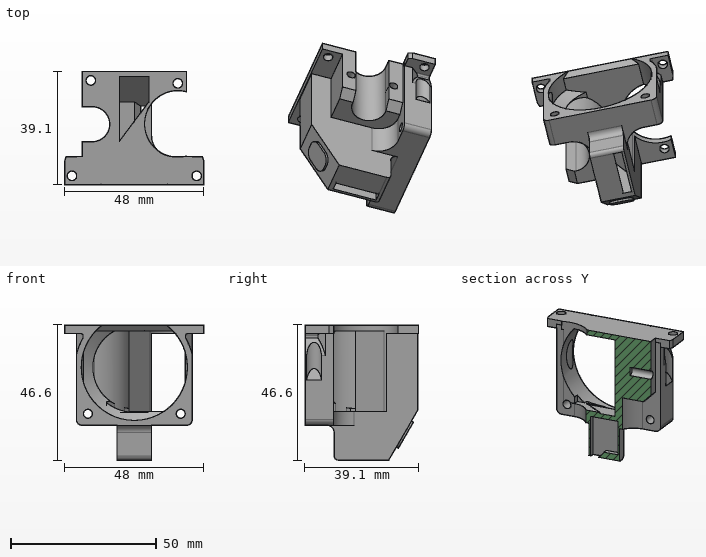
import cadquery as cq
import math


plate_width = 48.0
plate_depth = 39.11
plate_thickness = 3.0
overlap_depth = plate_thickness / 2
rear_plate_half_width = 18.0
front_strip_depth = 9.75
strip_corner_x = 0.5
strip_corner_y = 1.45
plate_hole_d = 3.2
strip_hole_x = 21.5
strip_hole_y = 3.1
rear_holes = [(-15.0, 36.0), (15.0, 35.0)]

fan_size = 40.0
frame_depth = 9.8
frame_bottom = -34.6
frame_corner_r = 2.0
fan_z = frame_bottom + fan_size / 2
fan_bore_r = 18.3
fan_hole_d = 3.0
fan_hole_offset = 16.0
fan_rim_r = 20.4
pocket_inner_x = 17.7
pocket_depth = 7.0
pocket_inner_depth = 4.4
pocket_corner_r = 0.6
screw_channel_r = 3.0
screw_sleeve_r = 4.0
channel_end_inner_z = -15.0
channel_end_outer_z = -18.9
sleeve_bottom = -21.0

body_half_width = 6.0
body_back = 38.9
body_front = 10.0
body_bottom = -46.63
slope_top_z = -29.3
slope_bottom_y = 28.85
flare_r = 7.1
nozzle_root_r = 2.5
nozzle_tip_r = 1.5

duct_half_width = 5.13
duct_back = 37.4
duct_front_corner_y = 15.05
duct_diagonal_end_y = 28.8
slope_wall = 1.7
nozzle_inner_front = 11.5
nozzle_ceiling = -32.0
nozzle_floor = -44.2
floor_ramp_x = 0.0
floor_slot_x = 2.25

pad_length = 10.4
pad_width = 8.0
pad_height = 0.8
pad_corner_r = 3.2
pad_center_z = -37.6

block_left = -18.0
block_back = 31.8
block_bottom = -23.0
block_chamfer = 3.0
slot_x = -14.5
slot_y = 20.9
slot_r = 6.0
clamp_hole_d = 2.94
clamp_hole_spacing = 15.5
clamp_hole_z = -12.55
clamp_hole_depth = 8.0

hotend_x = 15.0
hotend_y = 21.0
hotend_r = 11.45
hotend_floor = -29.76
passage_ceiling = -2.0
ceiling_slope_run = 1.6
passage_floor = -30.15
funnel_start_y = 6.0
funnel_end_y = 8.3
funnel_r = 14.3
floor_edge_y = 7.6
floor_half_width = math.sqrt(fan_bore_r**2 - (fan_z - passage_floor)**2)
floor_tip_y = 15.7
floor_pocket_top = -26.4
divider_wall = 1.15
divider_left_x = -1.9
passage_wall_mid = (-6.2, 11.0)

duct_diagonal_slope = (duct_diagonal_end_y - duct_front_corner_y) / (2 * duct_half_width)


def box(x0, x1, y0, y1, z0, z1):
    """Axis-aligned box between two opposite corners."""
    return cq.Workplane("XY").box(x1 - x0, y1 - y0, z1 - z0, centered=False).translate((x0, y0, z0))


def prism_z(points, z0, z1):
    """Closed XY outline extruded from z0 to z1."""
    return cq.Workplane("XY", origin=(0, 0, z0)).polyline(points).close().extrude(z1 - z0)


def prism_x(points, half_width):
    """Closed YZ outline extruded equally to both sides of X = 0."""
    return cq.Workplane("YZ").polyline(points).close().extrude(half_width, both=True)


def rod_z(x, y, radius, z0, z1):
    """Vertical cylinder."""
    return cq.Workplane("XY", origin=(x, y, z0)).circle(radius).extrude(z1 - z0)


def rod_y(x, z, radius, y0, y1):
    """Cylinder along Y."""
    return cq.Workplane("XZ", origin=(x, y0, z)).circle(radius).extrude(y0 - y1)


def divider_y(x):
    """Y of the fan-side face of the diagonal wall between duct and air passage."""
    offset = divider_wall * math.hypot(1, duct_diagonal_slope)
    return duct_front_corner_y + duct_diagonal_slope * (x + duct_half_width) - offset


def slope_y(z):
    """Y of the sloped back of the body at height z."""
    share = (z - body_bottom) / (slope_top_z - body_bottom)
    return slope_bottom_y + share * (body_back - slope_bottom_y)


def make_plate():
    half = plate_width / 2
    taper_start = front_strip_depth - strip_corner_y
    right_side = [
        (half, 0),
        (half, taper_start),
        (half - strip_corner_x, front_strip_depth),
        (rear_plate_half_width, front_strip_depth),
        (rear_plate_half_width, plate_depth),
    ]
    left_side = [(-x, y) for x, y in reversed(right_side)]
    return prism_z(right_side + left_side, -plate_thickness, 0)


def make_frame():
    half = fan_size / 2
    frame = box(-half, half, 0, frame_depth, frame_bottom, -overlap_depth)
    return frame.edges("|Y and <Z").fillet(frame_corner_r)


def make_body():
    root_y = frame_depth / 2
    outline = [
        (root_y, frame_bottom),
        (body_front, frame_bottom),
        (body_front, body_bottom),
        (slope_bottom_y, body_bottom),
        (body_back, slope_top_z),
        (body_back, -overlap_depth),
        (root_y, -overlap_depth),
    ]
    body = prism_x(outline, body_half_width)
    root = cq.selectors.NearestToPointSelector((0, body_front, frame_bottom))
    tip = cq.selectors.NearestToPointSelector((0, body_front, body_bottom))
    return body.edges(tip).fillet(nozzle_tip_r).edges(root).fillet(nozzle_root_r)


def make_flare(side):
    """Concave quarter-round corner between one duct side and the back of the fan frame."""
    far = body_half_width + flare_r
    corner = box(0, far, frame_depth, frame_depth + flare_r, frame_bottom, -overlap_depth)
    corner = corner.cut(rod_z(far, frame_depth + flare_r, flare_r, frame_bottom, 0))
    return corner if side > 0 else corner.mirror("YZ")


def make_block():
    block = box(block_left, 0, frame_depth, block_back, block_bottom, -overlap_depth)
    return block.edges("|Y and <X and <Z").chamfer(block_chamfer)


def make_pad():
    angle = math.atan2(slope_top_z - body_bottom, body_back - slope_bottom_y)
    normal = (0, math.sin(angle), -math.cos(angle))
    face = cq.Plane(origin=(0, slope_y(pad_center_z), pad_center_z), xDir=(1, 0, 0), normal=normal)
    pad = cq.Workplane(face).rect(pad_width, pad_length).extrude(pad_height)
    return pad.edges(cq.selectors.ParallelDirSelector(cq.Vector(*normal))).fillet(pad_corner_r)


def make_fan_passage():
    """Bore, funnel and curved passage leading the fan air into the hot-end recess."""
    bore = rod_y(0, fan_z, fan_bore_r, 0, funnel_start_y)
    right_bore = rod_y(0, fan_z, fan_bore_r, 0, frame_depth).intersect(
        box(divider_left_x, fan_size, 0, frame_depth, hotend_floor, 0))
    funnel = (
        cq.Workplane("XZ", origin=(0, funnel_start_y, fan_z)).circle(fan_bore_r)
        .workplane(offset=funnel_start_y - funnel_end_y).circle(funnel_r)
        .loft(ruled=True)
    )
    right_x = body_half_width + flare_r
    far_point = (body_half_width, divider_y(body_half_width))
    plan = (
        cq.Workplane("XY", origin=(0, 0, passage_floor))
        .moveTo(-funnel_r, funnel_start_y)
        .lineTo(-funnel_r, funnel_end_y)
        .threePointArc(passage_wall_mid, (divider_left_x, divider_y(divider_left_x)))
        .lineTo(*far_point)
        .lineTo(right_x, far_point[1])
        .lineTo(right_x, funnel_start_y)
        .close()
        .extrude(-passage_floor)
    )
    left = plan.intersect(rod_y(0, fan_z, funnel_r, 0, plate_depth))
    right = plan.intersect(
        box(divider_left_x, right_x, floor_edge_y, plate_depth, hotend_floor, 0))
    floor = prism_z(
        [(-floor_half_width, floor_edge_y), (floor_half_width, floor_edge_y),
         (divider_left_x, floor_tip_y)],
        passage_floor, floor_pocket_top).intersect(plan)
    passage = bore.union(right_bore).union(funnel).union(left).union(right).union(floor)
    limit = prism_x(
        [(0, 0), (ceiling_slope_run, passage_ceiling), (plate_depth, passage_ceiling),
         (plate_depth, body_bottom), (0, body_bottom)], fan_size)
    return passage.intersect(limit)


def make_duct():
    """Three-sided inlet shaft opening into the nozzle chamber, with a slot in the nozzle floor."""
    inlet = prism_z(
        [(-duct_half_width, duct_front_corner_y), (duct_half_width, duct_diagonal_end_y),
         (duct_half_width, duct_back), (-duct_half_width, duct_back)],
        body_bottom, 0)
    chamber = box(-duct_half_width, duct_half_width, nozzle_inner_front, duct_back,
                  body_bottom, nozzle_ceiling)
    inside = prism_x(
        [(nozzle_inner_front, 0), (duct_back, 0), (duct_back, slope_top_z),
         (slope_bottom_y - slope_wall, body_bottom), (nozzle_inner_front, body_bottom)],
        duct_half_width)
    floor = (
        cq.Workplane("XZ")
        .polyline([(-duct_half_width, body_bottom), (floor_slot_x, body_bottom),
                   (floor_ramp_x, nozzle_floor), (-duct_half_width, nozzle_floor)])
        .close().extrude(-plate_depth)
    )
    return inlet.union(chamber).intersect(inside).cut(floor)


def make_corner_pocket():
    """Pocket outside the bore rim at the upper +X corner of the frame."""
    outer_x = fan_size / 2
    outline = [
        (pocket_inner_x, 0),
        (outer_x, 0),
        (outer_x, pocket_depth),
        (pocket_inner_x, pocket_inner_depth),
    ]
    pocket = prism_z(outline, fan_z, -plate_thickness)
    pocket = pocket.edges("|Y and <X and >Z").fillet(pocket_corner_r)
    return pocket.cut(rod_y(0, fan_z, fan_rim_r, 0, pocket_depth))


def make_screw_sleeve():
    """Wall around the +X screw channel, bulging into the fan bore."""
    sleeve = rod_z(strip_hole_x, strip_hole_y, screw_sleeve_r, sleeve_bottom, -plate_thickness)
    return sleeve.intersect(rod_y(0, fan_z, fan_size / 2, 0, frame_depth))


def make_screw_channel():
    """Screw-head clearance below the +X strip hole, ending in a slope that runs outward."""
    inner_x = strip_hole_x - screw_channel_r
    outer_x = fan_size / 2
    slope = (channel_end_outer_z - channel_end_inner_z) / (outer_x - inner_x)
    end_x = strip_hole_x + screw_channel_r
    end_z = channel_end_inner_z + slope * (end_x - inner_x)
    side = (
        cq.Workplane("XZ")
        .polyline([(inner_x, -plate_thickness), (inner_x, channel_end_inner_z),
                   (end_x, end_z), (end_x, -plate_thickness)])
        .close().extrude(-frame_depth)
    )
    return side.intersect(rod_z(strip_hole_x, strip_hole_y, screw_channel_r, end_z, -plate_thickness))


def both_sides(shape):
    """A +X feature together with its mirror image on the -X side."""
    return shape.union(shape.mirror("YZ"))


def make_slot():
    slot = rod_z(slot_x, slot_y, slot_r, block_bottom, 0)
    mouth = box(block_left, slot_x, slot_y - slot_r, slot_y + slot_r, block_bottom, 0)
    return slot.union(mouth)


def make_screw_holes():
    strip_holes = [(-strip_hole_x, strip_hole_y), (strip_hole_x, strip_hole_y)]
    holes = cq.Workplane("XY")
    for x, y in rear_holes + strip_holes:
        holes = holes.add(rod_z(x, y, plate_hole_d / 2, -plate_thickness, 0))
    for x in (-fan_hole_offset, fan_hole_offset):
        holes = holes.add(rod_y(x, fan_z - fan_hole_offset, fan_hole_d / 2, 0, frame_depth))
    for shift in (-clamp_hole_spacing / 2, clamp_hole_spacing / 2):
        start = cq.Workplane("YZ", origin=(block_left, slot_y + shift, clamp_hole_z))
        holes = holes.add(start.circle(clamp_hole_d / 2).extrude(clamp_hole_depth))
    return holes.combine()


solid = make_plate().union(make_frame()).union(make_body()).union(make_block())
for flare_side in (-1, 1):
    solid = solid.union(make_flare(flare_side))
solid = solid.union(make_pad())

solid = solid.cut(make_fan_passage())
solid = solid.cut(make_duct())
solid = solid.cut(rod_z(hotend_x, hotend_y, hotend_r, hotend_floor, 0))
solid = solid.cut(make_slot())
solid = solid.cut(both_sides(make_corner_pocket()))
solid = solid.union(both_sides(make_screw_sleeve()))
solid = solid.cut(both_sides(make_screw_channel()))
result = solid.cut(make_screw_holes())